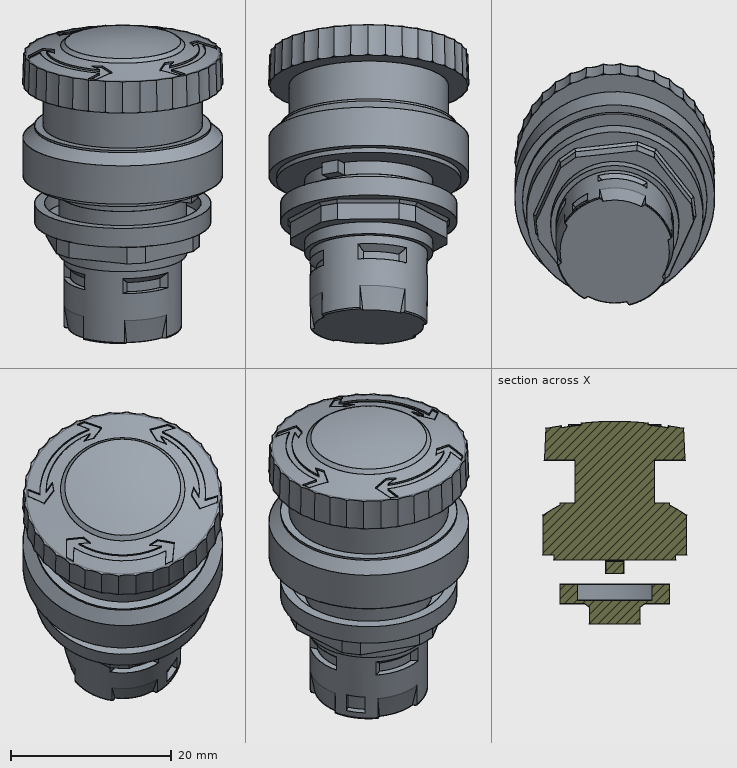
import cadquery as cq
import math

BODY_TOP = 9.6
NUT_BOTTOM = 11.15
NUT_TOP = 13.7
WASHER_TOP = 16.15
KEY_BOTTOM = 17.43
KEY_TOP = 19.0
COLLAR_FOOT = 19.15
COLLAR_BOTTOM = 19.75
COLLAR_SHOULDER = 24.73
COLLAR_CONE_TOP = 26.0
COLLAR_TOP = 26.28
CAP_BOTTOM = 31.57
CAP_RIM = 35.6
CAP_CROWN = 36.68
DOME_RIM = 37.13
HEIGHT = 37.8

BODY_R = 14.7 / 2
BODY_CORE_R = 6.55
LOWER_NECK_R = 16.0 / 2
UPPER_NECK_R = 15.9 / 2
WASHER_R = 22.0 / 2
WASHER_BORE_R = 19.5 / 2
COLLAR_FOOT_R = 23.0 / 2
COLLAR_R = 24.9 / 2
COLLAR_TOP_R = 22.0 / 2
STEM_R = 19.9 / 2
CROWN_R = 15.5 / 2
DOME_RIM_R = 7.22

END_CHAMFER_DEPTH = 0.1
END_CHAMFER_HEIGHT = 0.2
DIAGONALS = (45, 135, 225, 315)
WINDOW_BOTTOM = 6.55
WINDOW_FLOOR_TOP = 7.75
WINDOW_TOP = 8.5
WINDOW_FLOOR_WIDTH = 4.55
WINDOW_MOUTH_WIDTH = 6.2
NOTCH_HEIGHT = 3.02
NOTCH_FLOOR_R = 6.8
NOTCH_FLOOR_WIDTH = 4.85
NOTCH_MOUTH_WIDTH = 5.8
POCKET_SIZE = 2.35
POCKET_BOTTOM = 0.95

HEX_SIDES = 6
NUT_FLATS = 18.07
NUT_CORNER_FLATS = 19.5
NUT_FLARE_HEIGHT = 0.4
NUT_FLARE = 0.3
WASHER_RECESS = 2.0
KEY_WIDTH = 2.25
KEY_REACH = 9.53

FLUTES = 36
FLUTE_R = 3.78
RIDGE_BOTTOM_R = 25.0 / 2
RIDGE_TOP_R = 12.35
CAP_FACE_R = 12.02
CAP_BLANK_R = 12.7
CAP_CHAMFER_R = 12.35

ARROWS = 3
ARROW_DEPTH = 0.23
ARROW_LIMIT_R = 11.85
ARROW_BAND_INNER_R = 9.55
ARROW_BAND_OUTER_R = 10.32
OVERCUT = 0.38


def disc(radius, bottom, top):
    """Upright cylinder about the main axis between two heights."""
    return cq.Workplane("XY").workplane(offset=bottom).circle(radius).extrude(top - bottom)


def turned(points):
    """Solid of revolution about the main axis from (radius, height) points."""
    return cq.Workplane("XZ").polyline(points).close().revolve(360, (0, 0, 0), (0, 1, 0))


def turned_body():
    """Plain round body with a small chamfer at the bottom end."""
    return turned([
        (0, 0),
        (BODY_R - END_CHAMFER_DEPTH, 0),
        (BODY_R, END_CHAMFER_HEIGHT),
        (BODY_R, BODY_TOP),
        (0, BODY_TOP),
    ])


def flared_wedge(floor_r, floor_width, mouth_width):
    """Upright wedge on the +X side that widens from a floor radius to the body surface and beyond."""
    floor_y = floor_width / 2
    mouth_y = mouth_width / 2
    floor_x = math.sqrt(floor_r**2 - floor_y**2)
    mouth_x = math.sqrt(BODY_R**2 - mouth_y**2)
    outer_x = BODY_R + OVERCUT
    outer_y = mouth_y + (mouth_y - floor_y) / (mouth_x - floor_x) * (outer_x - mouth_x)
    return (
        cq.Workplane("XY")
        .polyline([(floor_x, -floor_y), (outer_x, -outer_y), (outer_x, outer_y), (floor_x, floor_y)])
        .close()
        .extrude(BODY_TOP)
    )


def window_cutter():
    """Window facing +X with flared side walls, a conical roof and a round floor."""
    roof_slope = (WINDOW_TOP - WINDOW_FLOOR_TOP) / (BODY_R - BODY_CORE_R)
    ring = turned([
        (BODY_CORE_R, WINDOW_BOTTOM),
        (BODY_R + OVERCUT, WINDOW_BOTTOM),
        (BODY_R + OVERCUT, WINDOW_TOP + roof_slope * OVERCUT),
        (BODY_CORE_R, WINDOW_FLOOR_TOP),
    ])
    return ring.intersect(flared_wedge(BODY_CORE_R, WINDOW_FLOOR_WIDTH, WINDOW_MOUTH_WIDTH))


def notch_cutter():
    """Notch facing +X, open at the bottom end, whose conical floor deepens downwards."""
    ring = turned([
        (NOTCH_FLOOR_R, 0),
        (BODY_R + OVERCUT, 0),
        (BODY_R + OVERCUT, NOTCH_HEIGHT),
        (BODY_R, NOTCH_HEIGHT),
    ])
    return ring.intersect(flared_wedge(NOTCH_FLOOR_R, NOTCH_FLOOR_WIDTH, NOTCH_MOUTH_WIDTH))


def square_pocket():
    """Square pocket in the -X side of the body, down to the core."""
    cutter = cq.Workplane("XY").box(BODY_R, POCKET_SIZE, POCKET_SIZE, centered=(False, True, False))
    return cutter.translate((-BODY_R - OVERCUT, 0, POCKET_BOTTOM)).cut(disc(BODY_CORE_R, 0, BODY_TOP))


def make_body():
    """Body with a window and a notch on each diagonal and one square pocket."""
    body = turned_body()
    window = window_cutter()
    notch = notch_cutter()
    for angle in DIAGONALS:
        body = body.cut(window.rotate((0, 0, 0), (0, 0, 1), angle))
        body = body.cut(notch.rotate((0, 0, 0), (0, 0, 1), angle))
    return body.cut(square_pocket())


def hexagon(flats, first_corner):
    """Corners of a regular hexagon given its width across flats."""
    radius = flats / math.sqrt(3)
    angles = [math.radians(first_corner + i * 360 / HEX_SIDES) for i in range(HEX_SIDES)]
    return [(radius * math.cos(a), radius * math.sin(a)) for a in angles]


def hex_prism(flats, first_corner):
    """Hexagonal bar the height of the nut, flaring out just under the washer."""
    straight_top = NUT_TOP - NUT_FLARE_HEIGHT
    straight = (
        cq.Workplane("XY").workplane(offset=NUT_BOTTOM)
        .polyline(hexagon(flats, first_corner)).close().extrude(straight_top - NUT_BOTTOM)
    )
    flare = (
        cq.Workplane("XY").workplane(offset=straight_top)
        .polyline(hexagon(flats, first_corner)).close()
        .workplane(offset=NUT_FLARE_HEIGHT)
        .polyline(hexagon(flats + 2 * NUT_FLARE, first_corner)).close()
        .loft(ruled=True)
    )
    return straight.union(flare)


def make_nut():
    """Hexagonal nut, flats toward +Y and -Y, with its corners cut off flat."""
    return hex_prism(NUT_FLATS, 0).intersect(hex_prism(NUT_CORNER_FLATS, 180 / HEX_SIDES))


def make_washer():
    """Washer with a wide recess around the neck in its upper face."""
    washer = disc(WASHER_R, NUT_TOP, WASHER_TOP)
    return washer.cut(disc(WASHER_BORE_R, WASHER_TOP - WASHER_RECESS, WASHER_TOP))


def make_necks():
    """Neck lengths below the nut, inside the washer and at the key."""
    lower = disc(LOWER_NECK_R, BODY_TOP, NUT_BOTTOM)
    middle = disc(UPPER_NECK_R, NUT_TOP, KEY_BOTTOM)
    upper = disc(LOWER_NECK_R, KEY_BOTTOM, COLLAR_FOOT)
    return lower.union(middle).union(upper)


def make_key():
    """Locating key on the +X side of the neck."""
    key = cq.Workplane("XY").box(KEY_REACH, KEY_WIDTH, KEY_TOP - KEY_BOTTOM, centered=(False, True, False))
    return key.translate((0, 0, KEY_BOTTOM))


def make_collar_and_stem():
    """Bevelled collar with the plain stem that carries the cap."""
    return turned([
        (0, COLLAR_FOOT),
        (COLLAR_FOOT_R, COLLAR_FOOT),
        (COLLAR_FOOT_R, COLLAR_BOTTOM),
        (COLLAR_R, COLLAR_BOTTOM),
        (COLLAR_R, COLLAR_SHOULDER),
        (COLLAR_TOP_R, COLLAR_CONE_TOP),
        (COLLAR_TOP_R, COLLAR_TOP),
        (STEM_R, COLLAR_TOP),
        (STEM_R, CAP_BOTTOM),
        (0, CAP_BOTTOM),
    ])


def cap_blank():
    """Cap before fluting: chamfered rim, conical face, raised crown and domed top."""
    dome_sphere_r = (DOME_RIM_R**2 + (HEIGHT - DOME_RIM) ** 2) / (2 * (HEIGHT - DOME_RIM))
    mid_r = DOME_RIM_R / 2
    mid_z = HEIGHT - dome_sphere_r + math.sqrt(dome_sphere_r**2 - mid_r**2)
    return (
        cq.Workplane("XZ")
        .moveTo(0, CAP_BOTTOM)
        .lineTo(CAP_CHAMFER_R, CAP_BOTTOM)
        .lineTo(CAP_BLANK_R, CAP_BOTTOM + CAP_BLANK_R - CAP_CHAMFER_R)
        .lineTo(CAP_BLANK_R, CAP_RIM)
        .lineTo(CAP_FACE_R, CAP_RIM)
        .lineTo(CROWN_R, CAP_CROWN)
        .lineTo(DOME_RIM_R, DOME_RIM)
        .threePointArc((mid_r, mid_z), (0, HEIGHT))
        .close()
        .revolve(360, (0, 0, 0), (0, 1, 0))
    )


def flute_axis_radius(ridge_r):
    """Distance of a flute axis that makes neighbouring flutes meet at the ridge radius."""
    half_pitch = math.pi / FLUTES
    return ridge_r * math.cos(half_pitch) + math.sqrt(FLUTE_R**2 - (ridge_r * math.sin(half_pitch)) ** 2)


def flute_cutter():
    """Cylinder beside the cap on the +X side, leaning in with the taper of the ridges."""
    lean = flute_axis_radius(RIDGE_TOP_R) - flute_axis_radius(RIDGE_BOTTOM_R)
    rise = CAP_RIM - CAP_BOTTOM
    start = cq.Vector(flute_axis_radius(RIDGE_BOTTOM_R) - lean, 0, CAP_BOTTOM - rise)
    axis = cq.Vector(3 * lean, 0, 3 * rise)
    return cq.Workplane(cq.Solid.makeCylinder(FLUTE_R, axis.Length, start, axis))


def arrow_cutter():
    """Double-headed arrow centred on the +X side, kept to a thin layer of the conical face."""
    tip = (7.37, 6.73)
    head_outer = (12.3, 6.5)
    barb_outer = (12.3, 5.75)
    shaft_outer = (8.6, 5.75)
    shaft_inner = (8.05, 5.15)
    barb_inner = (8.05, 3.65)
    head_inner = (7.25, 4.6)

    def mirrored(point):
        return (point[0], -point[1])

    outline = (
        cq.Workplane("XY").workplane(offset=CAP_BOTTOM)
        .moveTo(*tip)
        .lineTo(*head_outer)
        .lineTo(*barb_outer)
        .lineTo(*shaft_outer)
        .threePointArc((ARROW_BAND_OUTER_R, 0), mirrored(shaft_outer))
        .lineTo(*mirrored(barb_outer))
        .lineTo(*mirrored(head_outer))
        .lineTo(*mirrored(tip))
        .lineTo(*mirrored(head_inner))
        .lineTo(*mirrored(barb_inner))
        .lineTo(*mirrored(shaft_inner))
        .threePointArc((ARROW_BAND_INNER_R, 0), shaft_inner)
        .lineTo(*barb_inner)
        .lineTo(*head_inner)
        .close()
        .extrude(HEIGHT - CAP_BOTTOM)
    )
    slope = (CAP_CROWN - CAP_RIM) / (CAP_FACE_R - CROWN_R)
    limit_z = CAP_CROWN - slope * (ARROW_LIMIT_R - CROWN_R)
    layer = turned([
        (CROWN_R, CAP_CROWN - ARROW_DEPTH),
        (ARROW_LIMIT_R, limit_z - ARROW_DEPTH),
        (ARROW_LIMIT_R, limit_z + OVERCUT),
        (CROWN_R, CAP_CROWN + OVERCUT),
    ])
    return outline.intersect(layer)


def make_cap():
    """Cap with flutes around the rim and arrows sunk into its face."""
    cap = cap_blank()
    flute = flute_cutter()
    for i in range(FLUTES):
        cap = cap.cut(flute.rotate((0, 0, 0), (0, 0, 1), (i + 0.5) * 360 / FLUTES))
    arrow = arrow_cutter()
    for i in range(ARROWS):
        cap = cap.cut(arrow.rotate((0, 0, 0), (0, 0, 1), i * 360 / ARROWS))
    return cap


result = make_body()
for piece in (make_necks(), make_nut(), make_washer(), make_key(), make_collar_and_stem(), make_cap()):
    result = result.union(piece)